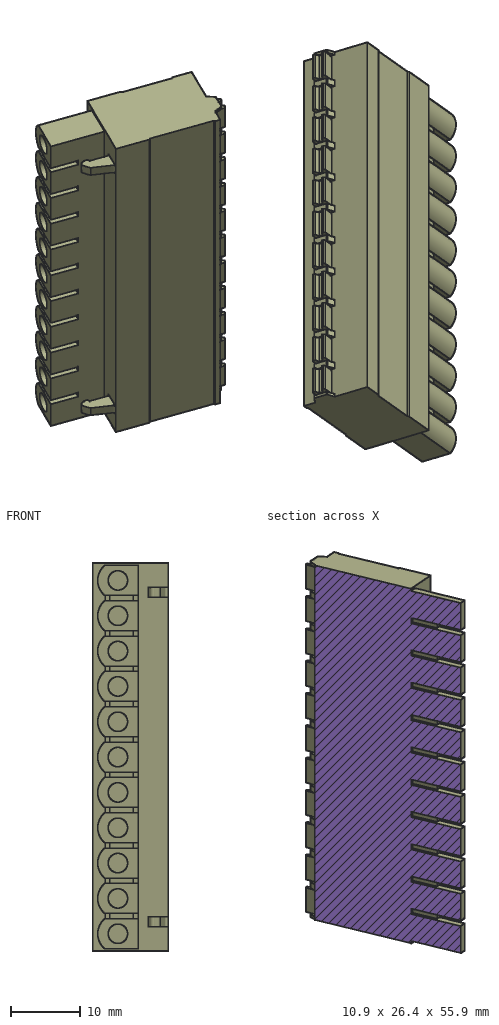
import cadquery as cq
import math


POLE_COUNT = 11
PITCH = 5.1

BODY_WIDTH = 10.9
BODY_DEPTH = 16.2
BODY_LENGTH = 55.9
WAIST_INSET = 0.15
WAIST_SLOPE = 0.15
WAIST_FRONT = 5.2
LEFT_WAIST_REAR = 13.25
RIGHT_WAIST_REAR = 15.4

PLUG_LENGTH = 8.3
PLUG_HEIGHT = 4.3
PLUG_LEFT = 0.7
PLUG_SHOULDER = 1.75
PLUG_RIGHT = 6.55
HOLE_X = 3.65
HOLE_DIAMETER = 2.8
HOLE_DEPTH = 1.2

WEB_LENGTH = 4.1
WEB_LEFT = 1.8
WEB_THICKNESS = 0.65

LATCH_HEIGHT = 1.45
LATCH_END_OFFSET = 4.25
LATCH_LEFT = 8.3
LATCH_LENGTH = 4.4
LATCH_BARB = 0.35
BARB_REAR = 3.0
BARB_SLOPE = 0.2
BARB_FLAT = 0.5
LATCH_ROOT_LEFT = 0.3
LATCH_ROOT_RIGHT = 0.5
BARB_END = (8.25, -4.2)
NOSE_TIP_X = 8.6
NOSE_START = (8.95, -4.25)
NOSE_BEND = (9.4, -3.85)
NOSE_END = (9.7, -3.45)

RAIL_CENTER = 7.25
RAIL_BASE_WIDTH = 3.35
RAIL_TOP_WIDTH = 2.4
RAIL_HEIGHT = 1.25
RAIL_CHAMFER = 0.15

BLOCK_CENTER = 7.15
BLOCK_WIDTH = 2.1
BLOCK_HEIGHT = 3.8
BLOCK_CLEARANCE = 0.15
PRONG_HEIGHT = 1.95
PRONG_TOP_WIDTH = 0.5
PRONG_BASE_WIDTH = 0.7
PRONG_CHAMFER = 0.15

latch_offset = BODY_LENGTH / 2 - LATCH_END_OFFSET
rail_rear = BODY_DEPTH + RAIL_HEIGHT
pole_heights = [(i - (POLE_COUNT - 1) / 2) * PITCH for i in range(POLE_COUNT)]
web_heights = [z + PITCH / 2 for z in pole_heights[:-1]]


def extrude_centered(outline, height, z):
    """Extrude a closed XY outline to the given height, centred on z."""
    return outline.extrude(height / 2, both=True).translate((0, 0, z))


def mirrored_outline(right_side, center):
    """Closed outline, symmetric about X = center, from the points of its right side."""
    left_side = [(-x, y) for x, y in reversed(right_side)]
    return cq.Workplane("XY").polyline([(center + x, y) for x, y in right_side + left_side]).close()


def make_body():
    """Housing with a slightly narrower waist."""
    left, right = WAIST_INSET, BODY_WIDTH - WAIST_INSET
    outline = cq.Workplane("XY").polyline([
        (0, 0),
        (BODY_WIDTH, 0),
        (BODY_WIDTH, WAIST_FRONT),
        (right, WAIST_FRONT + WAIST_SLOPE),
        (right, RIGHT_WAIST_REAR - WAIST_SLOPE),
        (BODY_WIDTH, RIGHT_WAIST_REAR),
        (BODY_WIDTH, BODY_DEPTH),
        (0, BODY_DEPTH),
        (0, LEFT_WAIST_REAR),
        (left, LEFT_WAIST_REAR - WAIST_SLOPE),
        (left, WAIST_FRONT + WAIST_SLOPE),
        (0, WAIST_FRONT),
    ]).close()
    return extrude_centered(outline, BODY_LENGTH, 0)


def make_plug(z):
    """Plug with a rounded left side and a blind contact hole in its front end."""
    half = PLUG_HEIGHT / 2
    plug = (
        cq.Workplane("XZ")
        .moveTo(PLUG_SHOULDER, z - half)
        .lineTo(PLUG_RIGHT, z - half)
        .lineTo(PLUG_RIGHT, z + half)
        .lineTo(PLUG_SHOULDER, z + half)
        .threePointArc((PLUG_LEFT, z), (PLUG_SHOULDER, z - half))
        .close()
        .extrude(PLUG_LENGTH)
    )
    hole = (
        cq.Workplane("XZ", origin=(HOLE_X, -PLUG_LENGTH, z))
        .circle(HOLE_DIAMETER / 2)
        .extrude(-HOLE_DEPTH)
    )
    return plug.cut(hole)


def make_web_wall(x, z):
    """One of the two thin walls that bridge the gap between neighbouring plugs."""
    return cq.Workplane("XY").box(
        WEB_THICKNESS, WEB_LENGTH, PITCH - PLUG_HEIGHT, centered=(False, False, True)
    ).translate((x, -WEB_LENGTH, z))


def make_latch(z):
    """Tapered latch finger with a rounded barb on its inner side."""
    barb_x = LATCH_LEFT - LATCH_BARB
    barb_front = BARB_REAR + BARB_SLOPE + BARB_FLAT
    root_left = LATCH_ROOT_LEFT
    root_right = LATCH_ROOT_RIGHT
    bend = 1 - math.sqrt(0.5)
    outline = (
        cq.Workplane("XY")
        .moveTo(LATCH_LEFT - root_left, 0)
        .threePointArc(
            (LATCH_LEFT - bend * root_left, -bend * root_left),
            (LATCH_LEFT, -root_left),
        )
        .lineTo(LATCH_LEFT, -BARB_REAR)
        .lineTo(barb_x, -BARB_REAR - BARB_SLOPE)
        .lineTo(barb_x, -barb_front)
        .lineTo(*BARB_END)
        .threePointArc((NOSE_TIP_X, -LATCH_LENGTH), NOSE_START)
        .lineTo(*NOSE_BEND)
        .lineTo(*NOSE_END)
        .lineTo(BODY_WIDTH - root_right, -root_right)
        .threePointArc(
            (BODY_WIDTH - (1 - bend) * root_right, -bend * root_right),
            (BODY_WIDTH, 0),
        )
        .close()
    )
    return extrude_centered(outline, LATCH_HEIGHT, z)


def make_rail():
    """Tapered rail along the rear face, with a gap around every pronged block."""
    base = RAIL_BASE_WIDTH / 2
    top = RAIL_TOP_WIDTH / 2
    right = [
        (base, BODY_DEPTH),
        (top, rail_rear - RAIL_CHAMFER),
        (top - RAIL_CHAMFER, rail_rear),
    ]
    rail = extrude_centered(mirrored_outline(right, RAIL_CENTER), BODY_LENGTH, 0)
    gap_height = BLOCK_HEIGHT + 2 * BLOCK_CLEARANCE
    for z in pole_heights:
        gap = cq.Workplane("XY").box(
            RAIL_BASE_WIDTH, RAIL_HEIGHT, gap_height, centered=(True, False, True)
        )
        rail = rail.cut(gap.translate((RAIL_CENTER, BODY_DEPTH, z)))
    return rail


def make_pronged_block(z):
    """Straight-sided block that ends in two prongs."""
    tip = BODY_DEPTH + PRONG_HEIGHT
    side = BLOCK_WIDTH / 2
    right = [
        (side, BODY_DEPTH),
        (side, tip - PRONG_CHAMFER),
        (side - PRONG_CHAMFER, tip),
        (side - PRONG_TOP_WIDTH, tip),
        (side - PRONG_BASE_WIDTH, rail_rear),
    ]
    return extrude_centered(mirrored_outline(right, BLOCK_CENTER), BLOCK_HEIGHT, z)


result = make_body().union(make_rail())
for z in pole_heights:
    result = result.union(make_plug(z)).union(make_pronged_block(z))
for z in web_heights:
    result = result.union(make_web_wall(WEB_LEFT, z))
    result = result.union(make_web_wall(PLUG_RIGHT - WEB_THICKNESS, z))
for z in (-latch_offset, latch_offset):
    result = result.union(make_latch(z))